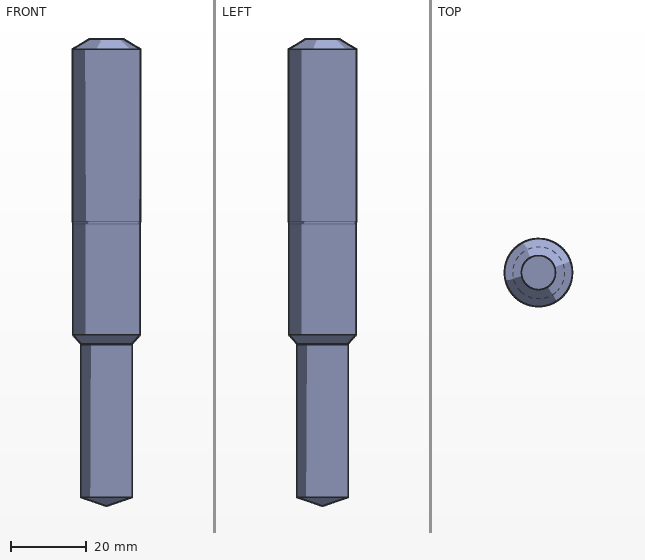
import cadquery as cq

total_length = 123.0

grip_diameter = 18.0
sleeve_diameter = 17.8
top_flat_diameter = grip_diameter / 2
top_taper_height = 2.7
step_top = 75.0
step_height = 0.7
nose_top = 45.1
nose_bottom = 42.8
neck_height = 0.4

shank_diameter = 13.7
point_height = 2.3

shank_top = nose_bottom - neck_height


def revolve_profile(points):
    """Revolve a closed (radius, z) outline about the Z axis."""
    return cq.Workplane("XZ").polyline(points).close().revolve(360, (0, 0, 0), (0, 1, 0))


def make_handle():
    return revolve_profile([
        (0, shank_top),
        (shank_diameter / 2, shank_top),
        (shank_diameter / 2, nose_bottom),
        (sleeve_diameter / 2, nose_top),
        (sleeve_diameter / 2, step_top - step_height),
        (grip_diameter / 2, step_top),
        (grip_diameter / 2, total_length - top_taper_height),
        (top_flat_diameter / 2, total_length),
        (0, total_length),
    ])


def make_shank():
    return revolve_profile([
        (0, 0),
        (shank_diameter / 2, point_height),
        (shank_diameter / 2, shank_top),
        (0, shank_top),
    ])


handle = make_handle()
shank = make_shank()

result = cq.Compound.makeCompound([handle.val(), shank.val()])